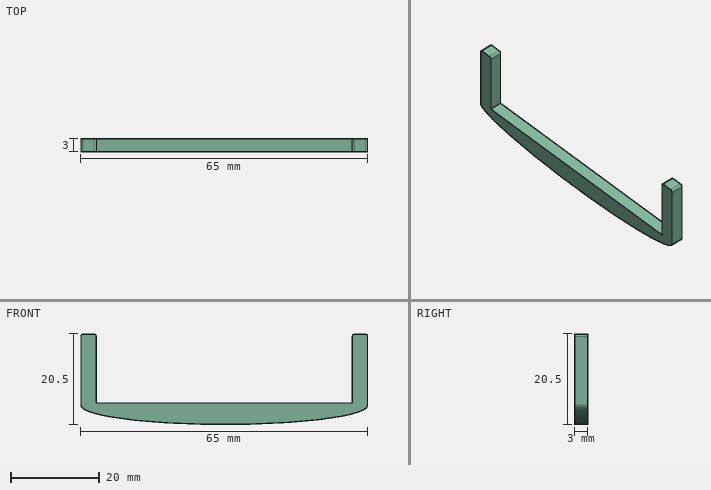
import cadquery as cq

length = 65.0
thickness = 3.0
height = 20.5

leg_width = 3.5
leg_depth = 15.55
bow_depth = 4.4
tip_radius = 0.5

half_length = length / 2
half_opening = half_length - leg_width
inner_edge_z = height - leg_depth


def handle_body():
    """U-shaped plate whose lower edge is half an ellipse, lowest point at Z = 0."""
    return (
        cq.Workplane("XZ", origin=(0, thickness / 2, 0))
        .moveTo(-half_length, bow_depth)
        .lineTo(-half_length, height)
        .lineTo(-half_opening, height)
        .lineTo(-half_opening, inner_edge_z)
        .lineTo(half_opening, inner_edge_z)
        .lineTo(half_opening, height)
        .lineTo(half_length, height)
        .lineTo(half_length, bow_depth)
        .ellipseArc(half_length, bow_depth, 180, 360, sense=-1, startAtCurrent=True)
        .close()
        .extrude(thickness)
    )


def round_leg_tips(body):
    """Round the two edges across the thickness at the top of each leg."""
    return body.faces(">Z").edges("|Y").fillet(tip_radius)


result = round_leg_tips(handle_body())